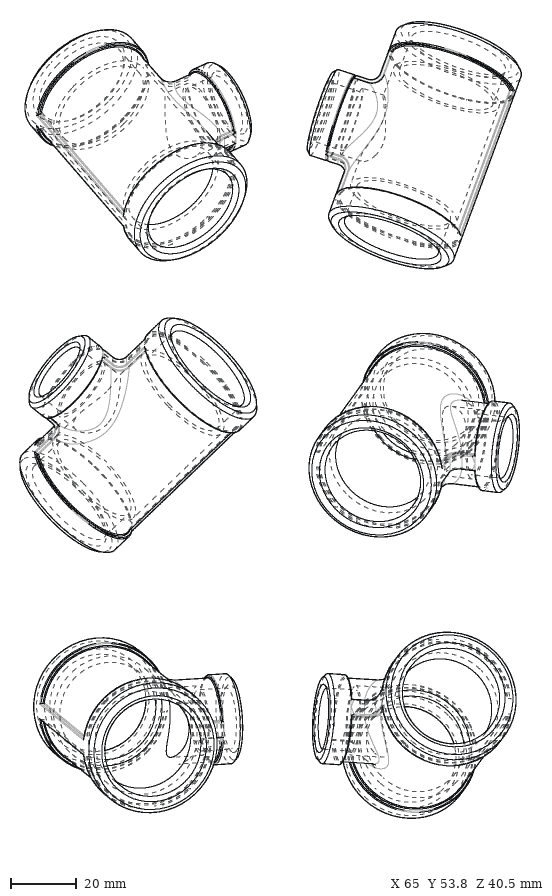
import cadquery as cq
import math

run_length = 65.0
run_collar_radius = 40.5 / 2
run_collar_length = 8.0
run_chamfer = 1.3
run_step = 1.25
run_body_radius = run_collar_radius - run_step
pocket_length = run_length - 2 * run_collar_length

branch_collar_radius = 27.5 / 2
branch_reach = 53.75 - run_collar_radius
branch_collar_length = 6.55
branch_chamfer = 1.1
branch_step = 1.0
branch_body_radius = branch_collar_radius - branch_step
branch_collar_start = branch_reach - branch_collar_length

run_bore_radius = 30.3 / 2
run_mouth_radius = 33.0 / 2
run_relief_radius = 34.2 / 2
run_bore_depth = 12.7
branch_bore_radius = 18.65 / 2
branch_mouth_radius = 20.8 / 2
branch_relief_radius = 21.2 / 2
branch_bore_depth = 10.0

rib_width = 5.0
saddle_fillet = 4.0
rib_corner_fillet = 2.9
rib_flare = 2.0
edge_round = 0.3
rib_end = branch_collar_start + edge_round

tolerance = 0.005


def cylinder_x(radius, start, end):
    return cq.Workplane("YZ", origin=(start, 0, 0)).circle(radius).extrude(end - start)


def cylinder_y(radius, start, end):
    return cq.Workplane("XZ", origin=(0, start, 0)).circle(radius).extrude(start - end)


def run_shell():
    """Full-size run with a pocket above and below, leaving collars and ribs."""
    shell = cylinder_x(run_collar_radius, -run_length / 2, run_length / 2)
    shell = shell.faces("<X or >X").chamfer(run_chamfer)
    for side in (1, -1):
        pocket = cq.Workplane("XY").box(pocket_length, run_length, run_length)
        shell = shell.cut(pocket.translate((0, 0, side * (run_length + rib_width) / 2)))
    return shell


def add_branch_rib(shell):
    """Flat ribs on both sides of the branch, blended into the rib of the run."""
    rib = cq.Workplane("XY").box(2 * branch_collar_radius, rib_end, rib_width, centered=(True, False, True))
    shell = shell.union(rib)
    reach = branch_collar_radius + tolerance
    corners = cq.selectors.BoxSelector(
        (-reach, run_body_radius, -rib_width),
        (reach, run_collar_radius + tolerance, rib_width),
        boundingbox=True,
    )
    return shell.edges(corners).fillet(rib_corner_fillet)


def is_pocket_rim(edge):
    """True for the outer rims of the collars and ribs around a pocket."""
    box = edge.BoundingBox()
    middle = edge.positionAt(0.5)
    if max(abs(box.xmin), abs(box.xmax)) > pocket_length / 2 + tolerance:
        return False
    if min(abs(box.zmin), abs(box.zmax)) < rib_width / 2 - tolerance:
        return False
    if middle.y > run_collar_radius:
        return box.ylen > tolerance and abs(middle.x) > branch_body_radius
    return math.hypot(middle.y, middle.z) > run_collar_radius - tolerance


def round_rims(shell):
    rims = [edge for edge in shell.edges().vals() if is_pocket_rim(edge)]
    return shell.newObject(rims).fillet(edge_round)


def flare_cutter():
    """Ring that trims the branch rib so that it flares out of the round collar."""
    diagonal = math.sqrt(0.5) * rib_flare
    outer = branch_collar_radius + rib_flare
    return (
        cq.Workplane("XY")
        .moveTo(branch_collar_radius, rib_end)
        .threePointArc((outer - diagonal, rib_end - diagonal), (outer, rib_end - rib_flare))
        .lineTo(outer, rib_end)
        .close()
        .revolve(360, (0, 0, 0), (0, 1, 0))
    )


def branch_collar():
    """Collar with a chamfered mouth and a rounded rear rim."""
    collar = cylinder_y(branch_collar_radius, branch_collar_start, branch_reach)
    return collar.faces(">Y").chamfer(branch_chamfer).faces("<Y").edges().fillet(edge_round)


def body():
    """Thinner run and branch, ending at the collar faces, with the saddle between them filleted."""
    run = cylinder_x(run_body_radius, -pocket_length / 2, pocket_length / 2)
    branch = cylinder_y(branch_body_radius, 0, branch_collar_start)
    tee = run.union(branch)
    reach = branch_collar_radius
    saddle = cq.selectors.BoxSelector(
        (-reach, tolerance, -reach), (reach, run_collar_radius, reach), boundingbox=True
    )
    return tee.edges(saddle).fillet(saddle_fillet)


def is_step_foot(edge):
    """True where a collar or rib wall meets the thinner run or branch."""
    box = edge.BoundingBox()
    middle = edge.positionAt(0.5)
    if min(abs(box.zmin), abs(box.zmax)) < rib_width / 2 - tolerance:
        return False
    if min(box.xlen, box.ylen, box.zlen) > tolerance:
        return False
    on_run = abs(math.hypot(middle.y, middle.z) - run_body_radius) < tolerance
    on_branch = abs(math.hypot(middle.x, middle.z) - branch_body_radius) < tolerance
    return on_run or on_branch


def fill_step_feet(tee):
    feet = [edge for edge in tee.edges().vals() if is_step_foot(edge)]
    return tee.newObject(feet).fillet(edge_round)


def run_bore():
    """Solid filling the inside of the run."""
    half = run_length / 2
    sink = run_mouth_radius - run_bore_radius
    step = half - run_bore_depth
    return (
        cq.Workplane("XY")
        .moveTo(-half, 0)
        .lineTo(-half, run_mouth_radius)
        .lineTo(-half + sink, run_bore_radius)
        .lineTo(-step, run_bore_radius)
        .lineTo(-step, run_relief_radius)
        .lineTo(step, run_relief_radius)
        .lineTo(step, run_bore_radius)
        .lineTo(half - sink, run_bore_radius)
        .lineTo(half, run_mouth_radius)
        .lineTo(half, 0)
        .close()
        .revolve(360, (0, 0, 0), (1, 0, 0))
    )


def branch_bore():
    """Solid filling the inside of the branch."""
    sink = branch_mouth_radius - branch_bore_radius
    step = branch_reach - branch_bore_depth
    return (
        cq.Workplane("XY")
        .lineTo(branch_relief_radius, 0)
        .lineTo(branch_relief_radius, step)
        .lineTo(branch_bore_radius, step)
        .lineTo(branch_bore_radius, branch_reach - sink)
        .lineTo(branch_mouth_radius, branch_reach)
        .lineTo(0, branch_reach)
        .close()
        .revolve(360, (0, 0, 0), (0, 1, 0))
    )


shell = round_rims(add_branch_rib(run_shell()))
shell = shell.cut(flare_cutter()).union(branch_collar())
tee = fill_step_feet(shell.union(body()))
result = tee.cut(run_bore()).cut(branch_bore())